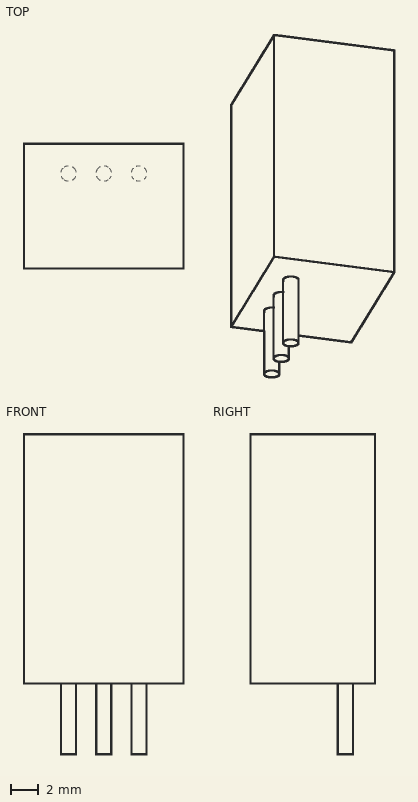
import cadquery as cq

housing_width = 11.5
housing_depth = 9.0
total_height = 23.1

pin_count = 3
pin_diameter = 1.1
pin_length = 5.1
pin_pitch = 2.55
pin_row_y = 2.35

housing_height = total_height - pin_length


def make_housing():
    """Plain rectangular block standing on the pins."""
    return (
        cq.Workplane("XY", origin=(0, 0, pin_length))
        .rect(housing_width, housing_depth)
        .extrude(housing_height)
    )


def make_pin(x):
    """Round pin whose upper end touches the housing's underside."""
    return (
        cq.Workplane("XY", origin=(x, pin_row_y, 0))
        .circle(pin_diameter / 2)
        .extrude(pin_length)
    )


housing = make_housing()

first_pin_x = -pin_pitch * (pin_count - 1) / 2
pins = [make_pin(first_pin_x + index * pin_pitch) for index in range(pin_count)]

result = cq.Compound.makeCompound([housing.val(), *[pin.val() for pin in pins]])